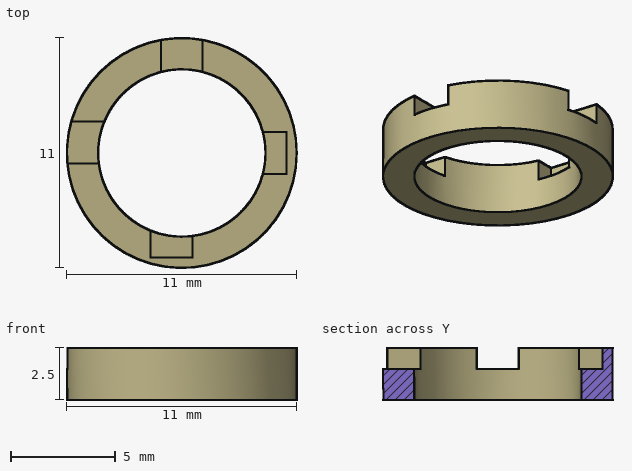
import cadquery as cq

outer_diameter = 11.0
inner_diameter = 8.0
height = 2.5

notch_width = 2.0
notch_depth = 1.0
notch_offset = 0.5
blind_reach = 5.0
cut_clearance = 1.0
through_reach = outer_diameter / 2 + cut_clearance

notches = [
    (0, blind_reach, 0.0),
    (90, through_reach, 0.0),
    (180, through_reach, -notch_offset),
    (270, blind_reach, -notch_offset),
]


def make_ring():
    return (
        cq.Workplane("XY")
        .circle(outer_diameter / 2)
        .circle(inner_diameter / 2)
        .extrude(height)
    )


def make_notch_cutter(direction, reach, shift):
    """Radial bar from the axis outward, open at the top face."""
    return (
        cq.Workplane("XY")
        .box(reach, notch_width, notch_depth, centered=(False, True, False))
        .translate((0, shift, height - notch_depth))
        .rotate((0, 0, 0), (0, 0, 1), direction)
    )


result = make_ring()
for direction, reach, shift in notches:
    result = result.cut(make_notch_cutter(direction, reach, shift))